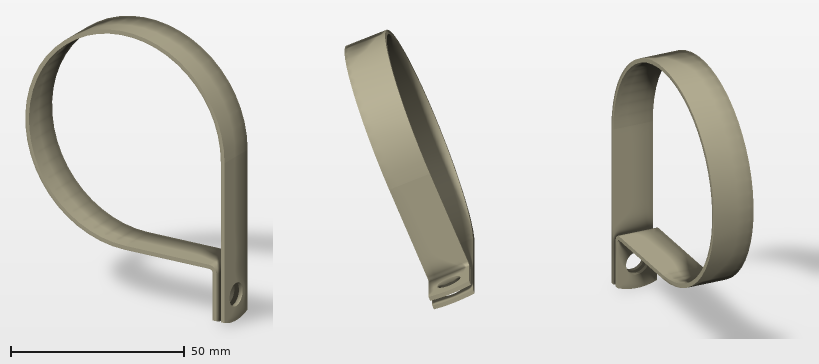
import cadquery as cq
import math

strap_width = 12.7
thickness = 1.3
total_height = 84.5

loop_diameter = 67.5
outer_radius = loop_diameter / 2
inner_radius = outer_radius - thickness

leg_gap = 1.5
bend_outer_radius = 2.4
bend_inner_radius = bend_outer_radius - thickness
leg_bottom = outer_radius - total_height
short_leg_outer_x = inner_radius - leg_gap
short_leg_inner_x = short_leg_outer_x - thickness
bend_x = short_leg_outer_x - bend_outer_radius
bend_z = -inner_radius - bend_outer_radius

hole_diameter = 7.2
hole_height = 8.0
end_sagitta = 1.3


def polar(radius, degrees, center_x=0.0, center_z=0.0):
    angle = math.radians(degrees)
    return center_x + radius * math.cos(angle), center_z + radius * math.sin(angle)


def bent_strap():
    """Constant-thickness strap profile extruded to the strap width."""
    return (
        cq.Workplane("XZ")
        .moveTo(outer_radius, leg_bottom)
        .lineTo(outer_radius, 0)
        .threePointArc(polar(outer_radius, 135), (0, -outer_radius))
        .lineTo(bend_x, -outer_radius)
        .threePointArc(polar(bend_inner_radius, 45, bend_x, bend_z), (short_leg_inner_x, bend_z))
        .lineTo(short_leg_inner_x, leg_bottom)
        .lineTo(short_leg_outer_x, leg_bottom)
        .lineTo(short_leg_outer_x, bend_z)
        .threePointArc(polar(bend_outer_radius, 45, bend_x, bend_z), (bend_x, -inner_radius))
        .lineTo(0, -inner_radius)
        .threePointArc(polar(inner_radius, 135), (inner_radius, 0))
        .lineTo(inner_radius, leg_bottom)
        .close()
        .extrude(strap_width / 2, both=True)
    )


def end_envelope():
    """Side outline of the strap with a shallow arc along the leg ends."""
    half_width = strap_width / 2
    corner_z = leg_bottom + end_sagitta
    return (
        cq.Workplane("YZ")
        .moveTo(-half_width, outer_radius)
        .lineTo(-half_width, corner_z)
        .threePointArc((0, leg_bottom), (half_width, corner_z))
        .lineTo(half_width, outer_radius)
        .close()
        .extrude(outer_radius, both=True)
    )


def bolt_hole():
    """Cylinder along X through both legs."""
    return (
        cq.Workplane("YZ")
        .center(0, leg_bottom + hole_height)
        .circle(hole_diameter / 2)
        .extrude(outer_radius)
    )


result = bent_strap().intersect(end_envelope()).cut(bolt_hole())